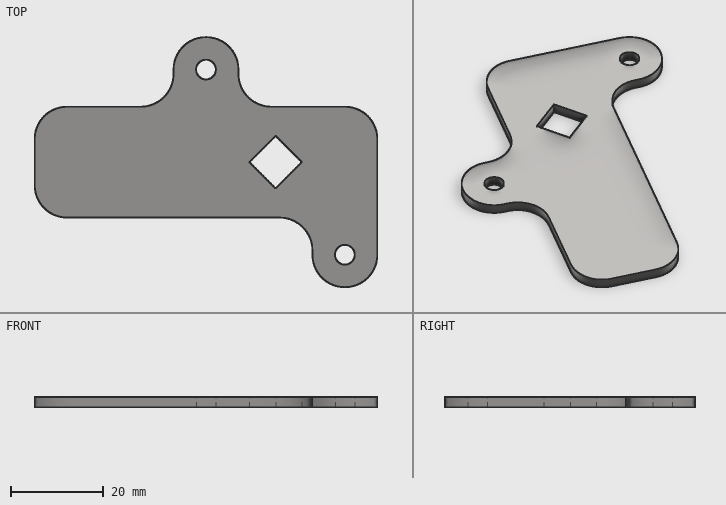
import cadquery as cq

length = 74.0
thickness = 2.3
body_width = 24.0
lug_reach = 15.0
radius = 7.0
hole_diameter = 4.2
square_side = 8.0
square_offset = 15.0

right = length / 2
left = -right
top = body_width / 2
bottom = -top
lug_straight = lug_reach - 2 * radius
top_lug_center = (0, top + lug_reach - radius)
bottom_lug_center = (right - radius, bottom - lug_reach + radius)


def make_plate():
    """Plate with one lug on its upper edge and one below its right end."""
    lug_left = top_lug_center[0] - radius
    bottom_lug_left = bottom_lug_center[0] - radius
    outline = (
        cq.Workplane("XY")
        .moveTo(left + radius, bottom)
        .lineTo(bottom_lug_left - radius, bottom)
        .tangentArcPoint((radius, -radius))
        .line(0, -lug_straight)
        .tangentArcPoint((2 * radius, 0))
        .lineTo(right, top - radius)
        .tangentArcPoint((-radius, radius))
        .lineTo(top_lug_center[0] + 2 * radius, top)
        .tangentArcPoint((-radius, radius))
        .line(0, lug_straight)
        .tangentArcPoint((lug_left, top_lug_center[1]), relative=False)
        .line(0, -lug_straight)
        .tangentArcPoint((-radius, -radius))
        .lineTo(left + radius, top)
        .tangentArcPoint((-radius, -radius))
        .lineTo(left, bottom + radius)
        .tangentArcPoint((radius, -radius))
        .close()
    )
    return outline.extrude(thickness)


def make_holes():
    """Round through holes concentric with the lug ends."""
    return (
        cq.Workplane("XY")
        .pushPoints([top_lug_center, bottom_lug_center])
        .circle(hole_diameter / 2)
        .extrude(thickness)
    )


def make_square_window():
    """Square through window standing on one corner."""
    return (
        cq.Workplane("XY")
        .rect(square_side, square_side)
        .extrude(thickness)
        .rotate((0, 0, 0), (0, 0, 1), 45)
        .translate((square_offset, 0, 0))
    )


result = make_plate().cut(make_holes()).cut(make_square_window())